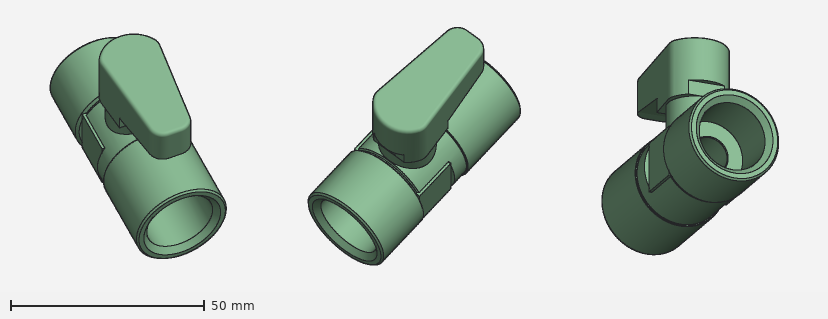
import cadquery as cq
import math

length = 56.5
outer_dia = 25.5
waist_dia = 24.5
groove_dia = 23.7
end_chamfer = 0.5
left_collar_end = 17.2
groove_width = 0.4
groove_chamfer = 0.35
waist_end = 34.65
waist_end_chamfer = 0.15

bore_dia = 18.65
bore_depth = 15.8
bore_mouth_dia = 21.75
bore_mouth_depth = 1.6
port_dia = 10.0
port_chamfer = 0.2

flat_length = 12.7
flat_height = 13.7
flat_to_flat = 21.9

stem_x = 25.5
stem_dia = 15.0
stem_top = 17.1

handle_top = 45.9 - outer_dia / 2
nose_radius = 9.05
shoulder_x = 22.3
tip_x = 52.0
tip_half_width = 5.4
corner_radius = 3.95
top_fillet = 1.0
step_z = 21.0
slope_end_x = 48.55
tip_underside_z = 23.2


def make_blank():
    """Turned outside of the housing, with both end collars and the groove."""
    outer_r = outer_dia / 2
    waist_r = waist_dia / 2
    groove_r = groove_dia / 2
    groove_end = left_collar_end + groove_width
    profile = [
        (0, 0),
        (0, outer_r - end_chamfer),
        (end_chamfer, outer_r),
        (left_collar_end - end_chamfer, outer_r),
        (left_collar_end, groove_r),
        (groove_end, groove_r),
        (groove_end + groove_chamfer, waist_r),
        (waist_end, waist_r),
        (waist_end, outer_r - waist_end_chamfer),
        (waist_end + waist_end_chamfer, outer_r),
        (length - end_chamfer, outer_r),
        (length, outer_r - end_chamfer),
        (length, 0),
    ]
    return cq.Workplane("XY").polyline(profile).close().revolve(360, (0, 0, 0), (1, 0, 0))


def add_wrench_flats(body):
    """Trim the waist to two flats and square out the corners of the pads."""
    slab_center_x = left_collar_end + flat_length / 2
    trim = (
        cq.Workplane("XY")
        .box(flat_length, 2 * outer_dia, 2 * outer_dia)
        .cut(cq.Workplane("XY").box(flat_length, flat_to_flat, 2 * outer_dia))
        .translate((slab_center_x, 0, 0))
    )
    pads = cq.Workplane("XY").box(flat_length, flat_to_flat, flat_height).translate((slab_center_x, 0, 0))
    return body.cut(trim).union(pads)


def make_passage():
    """Through port with a bore and conical mouth at each end."""
    mouth_r = bore_mouth_dia / 2
    bore_r = bore_dia / 2
    port_r = port_dia / 2
    profile = [
        (0, 0),
        (0, mouth_r),
        (bore_mouth_depth, bore_r),
        (bore_depth, bore_r),
        (bore_depth, port_r + port_chamfer),
        (bore_depth + port_chamfer, port_r),
        (length - bore_depth - port_chamfer, port_r),
        (length - bore_depth, port_r + port_chamfer),
        (length - bore_depth, bore_r),
        (length - bore_mouth_depth, bore_r),
        (length, mouth_r),
        (length, 0),
    ]
    return cq.Workplane("XY").polyline(profile).close().revolve(360, (0, 0, 0), (1, 0, 0))


def make_housing():
    stem = cq.Workplane("XY").center(stem_x, 0).circle(stem_dia / 2).extrude(stem_top)
    return add_wrench_flats(make_blank()).union(stem).cut(make_passage())


def make_handle():
    """Tapered lever with a round nose, relieved underneath on both sides of its base."""
    shoulder_y = math.sqrt(nose_radius**2 - (stem_x - shoulder_x) ** 2)
    lever = (
        cq.Workplane("XY")
        .workplane(offset=stem_top)
        .moveTo(shoulder_x, shoulder_y)
        .threePointArc((stem_x - nose_radius, 0), (shoulder_x, -shoulder_y))
        .lineTo(tip_x, -tip_half_width)
        .lineTo(tip_x, tip_half_width)
        .close()
        .extrude(handle_top - stem_top)
        .edges("|Z")
        .fillet(corner_radius)
        .faces(">Z")
        .edges()
        .fillet(top_fillet)
    )
    base_left = stem_x - stem_dia / 2
    base_right = stem_x + stem_dia / 2
    side_profile = [
        (base_left, stem_top),
        (base_right, stem_top),
        (base_right, step_z),
        (slope_end_x, tip_underside_z),
        (tip_x, tip_underside_z),
        (tip_x, handle_top),
        (stem_x - nose_radius, handle_top),
        (stem_x - nose_radius, step_z),
        (base_left, step_z),
    ]
    side = cq.Workplane("XZ").polyline(side_profile).close().extrude(nose_radius, both=True)
    return lever.intersect(side)


housing = make_housing()
handle = make_handle()
result = cq.Compound.makeCompound([housing.solids().val(), handle.solids().val()])